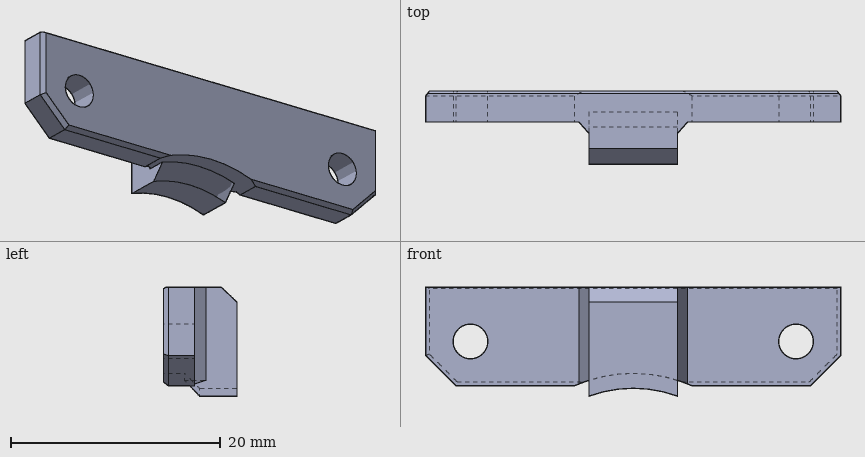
import cadquery as cq

length = 39.6
plate_thickness = 2.97
plate_height = 9.42
corner_cut = 2.9
back_chamfer_depth = 0.48
back_chamfer_inset = 0.35
top_bevel_depth = 0.25
top_bevel_drop = 0.15

hole_diameter = 3.3
hole_offset = 15.52
hole_drop = 5.2

total_depth = 7.0
total_height = 10.4
boss_half_width = 4.25
boss_top_chamfer_depth = 1.5
boss_top_chamfer_drop = 1.43
gusset_width = 0.95
gusset_depth = 1.05

arc_rise = 0.75
lip_radius = (boss_half_width**2 + arc_rise**2) / (2 * arc_rise)
arc_centre_z = -total_height + arc_rise - lip_radius
relief_radius = 13.75
lip_back_depth = 3.45
cone_depth = relief_radius - lip_radius


def make_plate():
    """Plate with clipped lower corners and chamfered around the back, with a finer bevel along the top."""
    half = length / 2
    outline = [
        (-half, 0),
        (half, 0),
        (half, corner_cut - plate_height),
        (half - corner_cut, -plate_height),
        (corner_cut - half, -plate_height),
        (-half, corner_cut - plate_height),
    ]
    plate = cq.Workplane("XZ").polyline(outline).close().extrude(plate_thickness)
    plate = plate.faces(">Y").edges("not >Z").chamfer(back_chamfer_depth, back_chamfer_inset)
    bevel_section = [(0, 0), (-top_bevel_depth, 0), (0, -top_bevel_drop)]
    bevel = cq.Workplane("YZ").polyline(bevel_section).close().extrude(half, both=True)
    return plate.cut(bevel)


def make_gussets():
    """Sloped webs joining both sides of the boss to the plate."""
    outer = boss_half_width + gusset_width
    front = -plate_thickness - gusset_depth
    outline = [
        (-outer, -plate_thickness),
        (-boss_half_width, front),
        (boss_half_width, front),
        (outer, -plate_thickness),
    ]
    return cq.Workplane("XY").polyline(outline).close().extrude(-plate_height)


def make_relief():
    """Cylinder that scoops out the underside of the plate and gussets."""
    return cq.Workplane("XZ").center(0, arc_centre_z).circle(relief_radius).extrude(total_depth)


def make_boss():
    """Boss with a bevelled top, a concave underside and a conical back to its lower lip."""
    back = -plate_thickness / 2
    outline = [
        (back, 0),
        (boss_top_chamfer_depth - total_depth, 0),
        (-total_depth, -boss_top_chamfer_drop),
        (-total_depth, -total_height),
        (back, -total_height),
    ]
    boss = cq.Workplane("YZ").polyline(outline).close().extrude(boss_half_width, both=True)
    cutter_profile = [
        (0, 0),
        (0, relief_radius),
        (cone_depth - lip_back_depth, relief_radius),
        (-lip_back_depth, lip_radius),
        (-total_depth, lip_radius),
        (-total_depth, 0),
    ]
    cutter = (
        cq.Workplane("YZ")
        .polyline(cutter_profile)
        .close()
        .revolve(360, (0, 0), (1, 0))
        .translate((0, 0, arc_centre_z))
    )
    return boss.cut(cutter)


def make_holes():
    """Pair of pins that cut the mounting holes."""
    return (
        cq.Workplane("XZ")
        .pushPoints([(-hole_offset, -hole_drop), (hole_offset, -hole_drop)])
        .circle(hole_diameter / 2)
        .extrude(plate_thickness)
    )


body = make_plate().union(make_gussets()).cut(make_relief())
result = body.union(make_boss()).cut(make_holes())